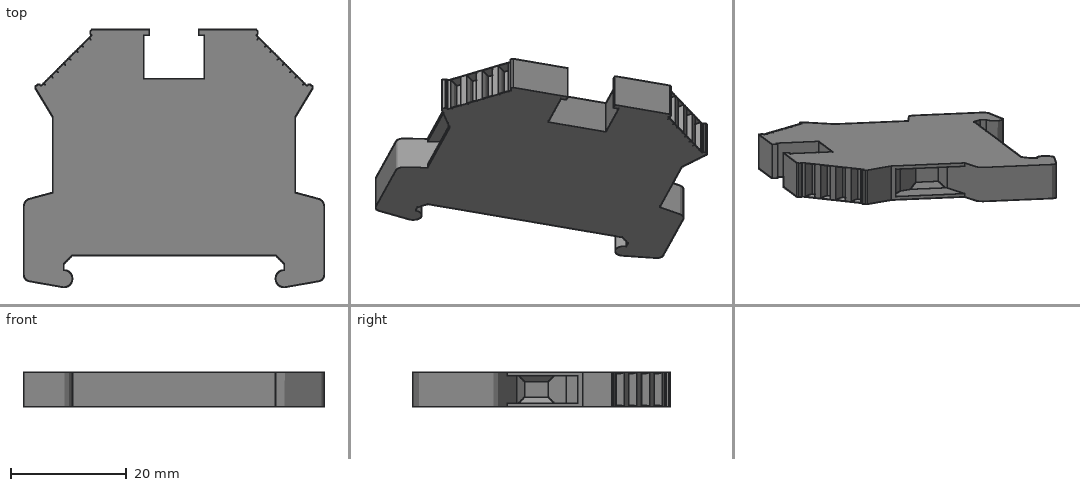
import cadquery as cq
import math

width = 52.0
height = 44.6
thickness = 6.0
half_width = width / 2
mid_plane = thickness / 2

hook_radius = 1.5
hook_x = 19.05
hook_y = hook_radius
rail_floor_y = 5.5
rail_chamfer = 1.45
foot_bottom_angle = math.radians(10)
foot_bottom_fillet = 1.2
shoulder_y = 16.4
shoulder_angle = math.radians(15)
shoulder_fillet = 1.4

body_half_width = 21.0
wing_root_y = 29.45
wing_tip_x = 24.0
wing_tip_y = 34.45
grip_top_x = 14.24
grip_top_y = 43.6
grip_length = 12.4
nub_height = 0.36
nub_bevel = 0.3
slot_half_width = 5.22
slot_depth = 8.5
lip_half_opening = 4.25
lip_height = 1.0

groove_count = 4
groove_width = 1.95
groove_mouth_depth = 0.9
groove_well_depth = 1.0
groove_draft = 12.0
groove_end_wall = 0.08

pocket_wall = 0.6
pocket_top_y = 28.6
pocket_step_depth = 1.8
pocket_ramp_y = 26.6
pocket_ramp_depth = 5.0
floor_top_y = 23.45
floor_bottom_y = 19.4
floor_half_thickness = 1.32
funnel_slope = 0.6
pocket_overshoot = 4.0


def mirror_sides(solid):
    """Return the right-hand solid together with its left-hand twin."""
    return solid.union(solid.mirror("YZ"))


def grip_point(along, outward):
    """Point at a distance down the 45 degree grip edge and out from it."""
    diagonal = math.sqrt(0.5)
    return (
        grip_top_x + (along + outward) * diagonal,
        grip_top_y + (outward - along) * diagonal,
    )


def make_half_body():
    hook_tangent = (
        hook_x + hook_radius * math.sin(foot_bottom_angle),
        hook_y - hook_radius * math.cos(foot_bottom_angle),
    )
    foot_bottom_y = hook_tangent[1] + (half_width - hook_tangent[0]) * math.tan(foot_bottom_angle)
    shoulder_drop = (half_width - body_half_width) * math.tan(shoulder_angle)
    shoulder_end_y = shoulder_y - shoulder_drop
    upper_nub_tip = grip_point(0, nub_height)
    lower_nub_tip = grip_point(grip_length, nub_height)

    half = (
        cq.Workplane("XY")
        .moveTo(0, rail_floor_y)
        .lineTo(hook_x - rail_chamfer, rail_floor_y)
        .lineTo(hook_x, rail_floor_y - rail_chamfer)
        .lineTo(hook_x, hook_y + hook_radius)
        .threePointArc((hook_x - hook_radius, hook_y), hook_tangent)
        .lineTo(half_width, foot_bottom_y)
        .lineTo(half_width, shoulder_end_y)
        .lineTo(body_half_width, shoulder_y)
        .lineTo(body_half_width, wing_root_y)
        .lineTo(wing_tip_x, wing_tip_y)
        .lineTo(wing_tip_x, wing_tip_y + nub_bevel)
        .lineTo(lower_nub_tip[0] + nub_bevel, lower_nub_tip[1])
        .lineTo(*lower_nub_tip)
        .lineTo(*grip_point(grip_length, 0))
        .lineTo(grip_top_x, grip_top_y)
        .lineTo(*upper_nub_tip)
        .lineTo(upper_nub_tip[0], height - nub_bevel)
        .lineTo(upper_nub_tip[0] - nub_bevel, height)
        .lineTo(lip_half_opening, height)
        .lineTo(lip_half_opening, height - lip_height)
        .lineTo(slot_half_width, height - lip_height)
        .lineTo(slot_half_width, height - slot_depth)
        .lineTo(0, height - slot_depth)
        .close()
        .extrude(thickness)
    )
    half = fillet_corner(half, foot_bottom_y, foot_bottom_fillet)
    return fillet_corner(half, shoulder_end_y, shoulder_fillet)


def fillet_corner(solid, corner_y, radius):
    """Round the upright edge on the outermost side at the given Y."""
    corner = cq.selectors.NearestToPointSelector((half_width, corner_y, mid_plane))
    return solid.edges("|Z").edges(corner).fillet(radius)


def make_groove(along):
    """Drafted mouth leading to a straight-walled well, sunk square to the grip edge."""
    center = grip_point(along, 0)
    mouth_plane = cq.Plane(
        origin=(center[0], center[1], mid_plane), xDir=(1, -1, 0), normal=(-1, -1, 0)
    )
    mouth_height = thickness - 2 * groove_end_wall
    inset = groove_mouth_depth * math.tan(math.radians(groove_draft))
    mouth = (
        cq.Workplane(mouth_plane)
        .rect(groove_width, mouth_height)
        .extrude(groove_mouth_depth, taper=groove_draft)
    )
    well = (
        cq.Workplane(mouth_plane)
        .workplane(offset=groove_mouth_depth)
        .rect(groove_width - 2 * inset, mouth_height - 2 * inset)
        .extrude(groove_well_depth)
    )
    return mouth.union(well)


def cut_grooves(solid):
    groove_pitch = grip_length / groove_count
    for index in range(groove_count):
        solid = solid.cut(make_groove((index + 0.5) * groove_pitch))
    return solid


def make_pocket():
    side = body_half_width
    pocket_floor_depth = pocket_ramp_depth + funnel_slope * (pocket_ramp_y - floor_top_y)
    floor_x = side - pocket_floor_depth
    shoulder_rise = math.tan(shoulder_angle)
    end_depth = (
        pocket_floor_depth - funnel_slope * (floor_bottom_y - shoulder_y)
    ) / (1 - funnel_slope * shoulder_rise)
    outer_x = side + pocket_overshoot
    profile = (
        cq.Workplane("XY")
        .moveTo(outer_x, pocket_top_y)
        .lineTo(side - pocket_step_depth, pocket_top_y)
        .lineTo(side - pocket_ramp_depth, pocket_ramp_y)
        .lineTo(floor_x, floor_top_y)
        .lineTo(floor_x, floor_bottom_y)
        .lineTo(side - end_depth, shoulder_y + end_depth * shoulder_rise)
        .lineTo(outer_x, shoulder_y - pocket_overshoot * shoulder_rise)
        .close()
        .extrude(thickness)
    )
    mouth_half = mid_plane - pocket_wall
    funnel_depth = funnel_slope * (mouth_half - floor_half_thickness)
    taper = (
        cq.Workplane("XZ")
        .polyline([
            (outer_x, mid_plane - mouth_half),
            (outer_x, mid_plane + mouth_half),
            (floor_x + funnel_depth, mid_plane + mouth_half),
            (floor_x, mid_plane + floor_half_thickness),
            (floor_x, mid_plane - floor_half_thickness),
            (floor_x + funnel_depth, mid_plane - mouth_half),
        ])
        .close()
        .extrude(-height)
    )
    return profile.intersect(taper)


half_body = cut_grooves(make_half_body()).cut(make_pocket())
result = mirror_sides(half_body)